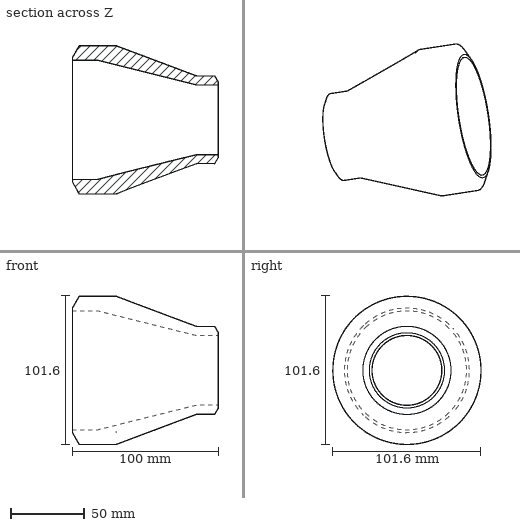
import cadquery as cq
import math

length = 100.0
large_outer_radius = 101.6 / 2
large_bore_radius = 81.6 / 2
small_outer_radius = 60.4 / 2
small_bore_radius = 47.7 / 2
large_collar_length = 30.0
small_collar_length = 15.0
large_bore_depth = 17.1
edge_radius = 0.8
land_width = 1.9
bevel_angle = math.radians(30)

taper_start = large_collar_length
taper_end = length - small_collar_length

large_land_radius = large_bore_radius + land_width
small_land_radius = small_bore_radius + land_width
large_bevel_length = (large_outer_radius - large_land_radius) * math.tan(bevel_angle)
small_bevel_length = (small_outer_radius - small_land_radius) * math.tan(bevel_angle)



def revolve_profile(points):
    """Revolve a closed outline of (station, radius) points about the X axis."""
    return cq.Workplane("XY").polyline(points).close().revolve(360, (0, 0, 0), (1, 0, 0))


body = revolve_profile([
    (0, 0),
    (0, large_land_radius),
    (large_bevel_length, large_outer_radius),
    (taper_start, large_outer_radius),
    (taper_end, small_outer_radius),
    (length - small_bevel_length, small_outer_radius),
    (length, small_land_radius),
    (length, 0),
])

body = body.edges("%CIRCLE").edges("not(<X or >X)").fillet(edge_radius)

bore = revolve_profile([
    (0, 0),
    (0, large_bore_radius),
    (large_bore_depth, large_bore_radius),
    (taper_end, small_bore_radius),
    (length, small_bore_radius),
    (length, 0),
])

result = body.cut(bore)